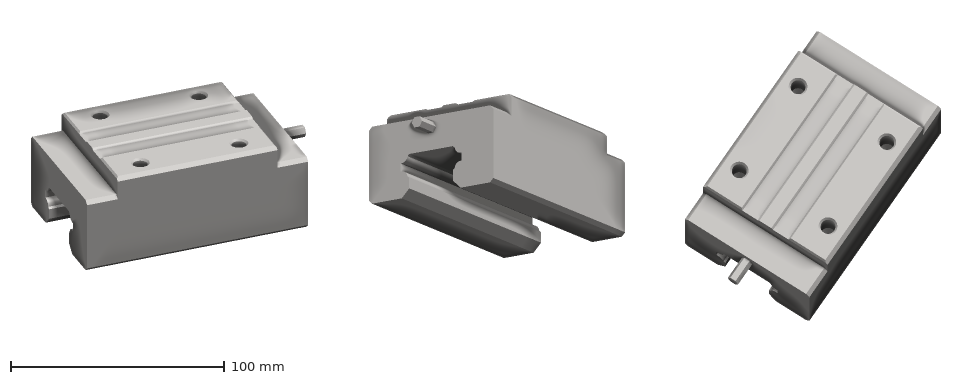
import cadquery as cq
import math

width = 70.0
total_length = 124.0
height = 47.0
middle_length = 81.0
end_cap_length = 15.5
end_cap_height = 37.6
edge_chamfer = 1.9
body_length = middle_length + 2 * end_cap_length

relief_depth = 0.9
pad_inner_x = 12.9
rib_base_half_width = 4.3
rib_top_half_width = 3.3

channel_height = 21.0
mouth_half_width = 12.3
mouth_chamfer = 4.2
groove_half_width = 17.2
groove_center_height = 15.1
bulge_radius = 3.3
bulge_center_x = 16.6
bulge_center_offset = 5.3
bulge_end_offset = 5.0

hole_spacing = 50.0
hole_diameter = 7.0
countersink_diameter = 8.8
hole_depth = 12.4
drill_tip_angle = 118.0

nipple_across_corners = 5.8
nipple_center_height = 31.9
nipple_length = total_length - body_length


def chamfered_bar(length, bar_height):
    """Bar along Y, centred on Y = 0, with its four long edges chamfered."""
    return (
        cq.Workplane("XY")
        .box(width, length, bar_height, centered=(True, True, False))
        .edges("|Y")
        .chamfer(edge_chamfer)
    )


def along_y(outline, length):
    """Extrude an outline drawn in XZ symmetrically about Y = 0."""
    return outline.close().extrude(length / 2, both=True)


def top_relief(side):
    """Shallow channel between the centre rib and the pad on one side of the top face."""
    floor = height - relief_depth
    outline = (
        cq.Workplane("XZ")
        .moveTo(side * rib_top_half_width, height)
        .lineTo(side * rib_base_half_width, floor)
        .lineTo(side * pad_inner_x, floor)
        .lineTo(side * (pad_inner_x + relief_depth), height)
    )
    return along_y(outline, middle_length)


def pad_end_bevel(side, end):
    """45 degree bevel across one end of a pad, ending at the relief channel."""
    end_y = end * middle_length / 2
    return (
        cq.Workplane("YZ", origin=(side * pad_inner_x, 0, 0))
        .moveTo(end_y, height)
        .lineTo(end_y, height - relief_depth)
        .lineTo(end_y - end * relief_depth, height)
        .close()
        .extrude(side * (width / 2 - pad_inner_x))
    )


def bulge_x(offset):
    """Distance of the bulge surface from the centre plane at an offset from the groove centre height."""
    return bulge_center_x - math.sqrt(bulge_radius**2 - (bulge_center_offset - offset) ** 2)


def half_channel(side):
    """One half of the rail channel, from the centre plane out to one side wall."""
    diagonal = bulge_radius * math.sqrt(0.5)
    arc_mid = (side * (bulge_center_x - diagonal), bulge_center_offset - diagonal)
    arc_outer = (side * bulge_x(bulge_end_offset), bulge_end_offset)
    groove_half_height = bulge_center_offset - math.sqrt(
        bulge_radius**2 - (groove_half_width - bulge_center_x) ** 2
    )
    arc_inner = (side * groove_half_width, groove_half_height)

    def above(point):
        return (point[0], groove_center_height + point[1])

    def below(point):
        return (point[0], groove_center_height - point[1])

    mouth_corner = (side * mouth_half_width, channel_height - groove_center_height)
    outline = (
        cq.Workplane("XZ")
        .moveTo(0, 0)
        .lineTo(0, channel_height)
        .lineTo(*above(mouth_corner))
        .lineTo(*above(arc_outer))
        .threePointArc(above(arc_mid), above(arc_inner))
        .lineTo(*below(arc_inner))
        .threePointArc(below(arc_mid), below(arc_outer))
        .lineTo(*below(mouth_corner))
        .lineTo(side * mouth_half_width, mouth_chamfer)
        .lineTo(side * (mouth_half_width + mouth_chamfer), 0)
    )
    return along_y(outline, body_length)


def tapped_hole():
    """Blind drilled hole with a conical bottom and a 45 degree countersink, axis on Z."""
    radius = hole_diameter / 2
    countersink_radius = countersink_diameter / 2
    tip_depth = radius / math.tan(math.radians(drill_tip_angle / 2))
    return (
        cq.Workplane("XZ")
        .moveTo(0, height)
        .lineTo(countersink_radius, height)
        .lineTo(radius, height - (countersink_radius - radius))
        .lineTo(radius, height - hole_depth)
        .lineTo(0, height - hole_depth - tip_depth)
        .close()
        .revolve(360, (0, 0, 0), (0, 1, 0))
    )


def grease_nipple():
    """Hexagonal stub on the +Y end face, with corners pointing along X."""
    return (
        cq.Workplane("XZ", origin=(0, body_length / 2, nipple_center_height))
        .polygon(6, nipple_across_corners)
        .extrude(-nipple_length)
    )


result = chamfered_bar(middle_length, height).union(chamfered_bar(body_length, end_cap_height))

for side in (-1, 1):
    result = result.cut(top_relief(side)).cut(half_channel(side))
    for end in (-1, 1):
        result = result.cut(pad_end_bevel(side, end))
        hole_position = (side * hole_spacing / 2, end * hole_spacing / 2, 0)
        result = result.cut(tapped_hole().translate(hole_position))

result = result.union(grease_nipple())